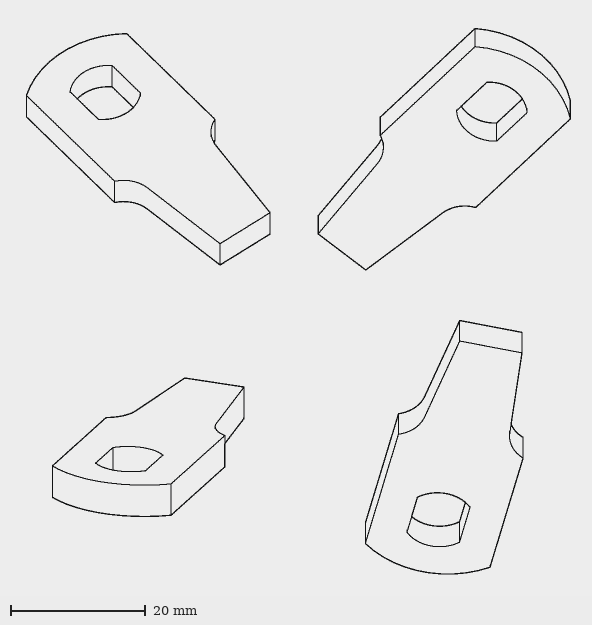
import cadquery as cq
import math

length = 43.2
width = 19.0
thickness = 5.0

end_arc_depth = 3.15

shoulder_x = 24.15
taper_start_x = 28.25
taper_start_width = 12.95
tip_width = 9.5
shoulder_radius = 5.0

hole_center_x = 10.0
hole_length = 10.02
hole_flat_length = 6.75
hole_width = 8.0


def shoulder_midpoint():
    """Middle of the concave upper shoulder arc, which bows towards the centreline."""
    start_y = width / 2
    end_y = taper_start_width / 2
    dx = taper_start_x - shoulder_x
    dy = end_y - start_y
    chord = math.hypot(dx, dy)
    sagitta = shoulder_radius - math.sqrt(shoulder_radius**2 - (chord / 2) ** 2)
    mid_x = (shoulder_x + taper_start_x) / 2 + sagitta * dy / chord
    mid_y = (start_y + end_y) / 2 - sagitta * dx / chord
    return mid_x, mid_y


def make_plate():
    """Plate with the rounded end at X = 0 and the tongue tip at X = length."""
    mid_x, mid_y = shoulder_midpoint()
    return (
        cq.Workplane("XY")
        .moveTo(end_arc_depth, width / 2)
        .lineTo(shoulder_x, width / 2)
        .threePointArc((mid_x, mid_y), (taper_start_x, taper_start_width / 2))
        .lineTo(length, tip_width / 2)
        .lineTo(length, -tip_width / 2)
        .lineTo(taper_start_x, -taper_start_width / 2)
        .threePointArc((mid_x, -mid_y), (shoulder_x, -width / 2))
        .lineTo(end_arc_depth, -width / 2)
        .threePointArc((0, 0), (end_arc_depth, width / 2))
        .close()
        .extrude(thickness)
    )


def make_hole():
    """Through cutter with flats facing +Y and -Y."""
    flat_x = hole_flat_length / 2
    flat_y = hole_width / 2
    return (
        cq.Workplane("XY")
        .center(hole_center_x, 0)
        .moveTo(-flat_x, flat_y)
        .lineTo(flat_x, flat_y)
        .threePointArc((hole_length / 2, 0), (flat_x, -flat_y))
        .lineTo(-flat_x, -flat_y)
        .threePointArc((-hole_length / 2, 0), (-flat_x, flat_y))
        .close()
        .extrude(thickness)
    )


result = make_plate().cut(make_hole())